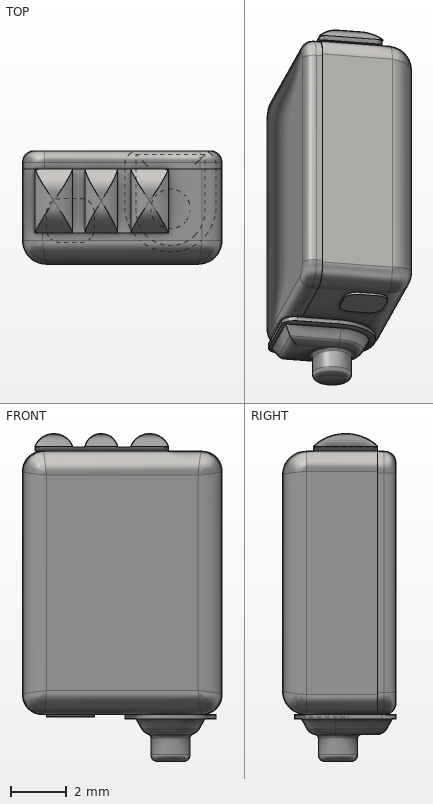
import cadquery as cq

OVERALL_HEIGHT = 11.74
CASE_WIDTH = 7.14
CASE_DEPTH = 4.06
CASE_HEIGHT = 9.43
COVER_DEPTH = 0.66
SEAM_Y = CASE_DEPTH - COVER_DEPTH
SHELL_CORNER_RADIUS = 0.72
SHELL_RIM_RADIUS = 0.86
COVER_CORNER_RADIUS = 0.79
COVER_RIM_RADIUS = 0.42

STRIP_LEFT = -3.12
STRIP_WIDTH = 4.78
STRIP_DEPTH = 2.29
STRIP_THICKNESS = 0.15
STRIP_CORNER_RADIUS = 0.14
CONTACT_STEP = 0.02
DOME_HEIGHT = 0.46
END_CONTACT_WIDTH = 1.35
MIDDLE_CONTACT_WIDTH = 1.17
MIDDLE_CONTACT_LEFT = -1.34

OUTLET_X = 1.73
FLANGE_HALF_WIDTH = 1.63
FLANGE_FRONT_Y = 0.43
FLANGE_BACK_Y = CASE_DEPTH
FLANGE_THICKNESS = 0.15
FLANGE_CORNER_RADIUS = 0.49
BOSS_HALF_WIDTH = 1.23
BOSS_FRONT_Y = 0.67
BOSS_BACK_Y = 3.93
BOSS_HEIGHT = 0.56
BOSS_TAPER_DEGREES = 30.0
BOSS_EDGE_RADIUS = 0.41
NOZZLE_Y = 1.98
NOZZLE_RADIUS = 0.7
NOZZLE_TIP_RADIUS = 0.25
NOZZLE_ROOT_RADIUS = 0.13
OUTLET_HEIGHT = OVERALL_HEIGHT - CASE_HEIGHT - STRIP_THICKNESS - CONTACT_STEP - DOME_HEIGHT

PAD_LEFT = -2.71
PAD_FRONT_Y = 0.77
PAD_WIDTH = 1.71
PAD_DEPTH = 1.57
PAD_THICKNESS = 0.08
PAD_CORNER_RADIUS = 0.49


def corner_box(left, front, bottom, width, depth, height):
    """Box placed by its left, front, bottom corner."""
    return cq.Workplane("XY").box(width, depth, height, centered=False).translate((left, front, bottom))


def make_shell():
    """Front part of the case: rounded corners and a rounded front rim, flat at the seam."""
    shell = corner_box(-CASE_WIDTH / 2, 0, 0, CASE_WIDTH, SEAM_Y, CASE_HEIGHT)
    shell = shell.edges("|Y").fillet(SHELL_CORNER_RADIUS)
    return shell.faces("<Y").edges().fillet(SHELL_RIM_RADIUS)


def make_cover():
    """Back part of the case: rounded corners and a smaller rounded back rim."""
    cover = corner_box(-CASE_WIDTH / 2, SEAM_Y, 0, CASE_WIDTH, COVER_DEPTH, CASE_HEIGHT)
    cover = cover.edges("|Y").fillet(COVER_CORNER_RADIUS)
    return cover.faces(">Y").edges().fillet(COVER_RIM_RADIUS)


def arch(plane, width, length):
    """Circular segment standing on its chord, extruded by length."""
    return (
        cq.Workplane(plane)
        .moveTo(-width / 2, 0)
        .threePointArc((0, DOME_HEIGHT), (width / 2, 0))
        .close()
        .extrude(length / 2, both=True)
    )


def make_contact(left, width):
    """Low rectangular step under a dome made of two crossed arches, ridged from the corners to the peak."""
    front = SEAM_Y - STRIP_DEPTH
    step_bottom = CASE_HEIGHT + STRIP_THICKNESS
    step = corner_box(left, front, step_bottom, width, STRIP_DEPTH, CONTACT_STEP)
    dome = arch("XZ", width, STRIP_DEPTH).intersect(arch("YZ", STRIP_DEPTH, width))
    dome = dome.translate((left + width / 2, front + STRIP_DEPTH / 2, step_bottom + CONTACT_STEP))
    return step.union(dome)


def make_terminal_strip():
    """Plate with rounded corners and its three contacts, in one piece."""
    front = SEAM_Y - STRIP_DEPTH
    plate = corner_box(STRIP_LEFT, front, CASE_HEIGHT, STRIP_WIDTH, STRIP_DEPTH, STRIP_THICKNESS)
    strip = plate.edges("|Z").fillet(STRIP_CORNER_RADIUS)
    contacts = [
        (STRIP_LEFT, END_CONTACT_WIDTH),
        (MIDDLE_CONTACT_LEFT, MIDDLE_CONTACT_WIDTH),
        (STRIP_LEFT + STRIP_WIDTH - END_CONTACT_WIDTH, END_CONTACT_WIDTH),
    ]
    for left, width in contacts:
        strip = strip.union(make_contact(left, width))
    return strip


def round_front_outline(top, half_width, front, back):
    """Closed outline at height top: half circle at the front, straight sides and a straight back."""
    arc_centre_y = front + half_width
    return (
        cq.Workplane("XY", origin=(OUTLET_X, 0, top))
        .moveTo(-half_width, back)
        .lineTo(-half_width, arc_centre_y)
        .threePointArc((0, front), (half_width, arc_centre_y))
        .lineTo(half_width, back)
        .close()
    )


def nozzle_root_selector():
    """Picks the edges where the nozzle leaves the boss and its rounded bottom edge."""
    margin = 0.01
    reach = NOZZLE_RADIUS + margin
    boss_bottom = -FLANGE_THICKNESS - BOSS_HEIGHT
    return cq.selectors.BoxSelector(
        (OUTLET_X - reach, NOZZLE_Y - reach, boss_bottom - margin),
        (OUTLET_X + reach, NOZZLE_Y + reach, boss_bottom + BOSS_EDGE_RADIUS / 2),
        boundingbox=True,
    )


def make_outlet():
    """Flange, tapered boss and nozzle in one piece, hanging from the underside."""
    flange = (
        round_front_outline(0, FLANGE_HALF_WIDTH, FLANGE_FRONT_Y, FLANGE_BACK_Y)
        .extrude(-FLANGE_THICKNESS)
        .edges("|Z and >Y")
        .fillet(FLANGE_CORNER_RADIUS)
    )
    boss = (
        round_front_outline(-FLANGE_THICKNESS, BOSS_HALF_WIDTH, BOSS_FRONT_Y, BOSS_BACK_Y)
        .extrude(-BOSS_HEIGHT, taper=BOSS_TAPER_DEGREES)
        .faces("<Z")
        .edges()
        .fillet(BOSS_EDGE_RADIUS)
    )
    nozzle = (
        cq.Workplane("XY", origin=(OUTLET_X, NOZZLE_Y, -FLANGE_THICKNESS))
        .circle(NOZZLE_RADIUS)
        .extrude(FLANGE_THICKNESS - OUTLET_HEIGHT)
        .faces("<Z")
        .edges()
        .fillet(NOZZLE_TIP_RADIUS)
    )
    stem = boss.union(nozzle)
    root_edges = stem.edges(nozzle_root_selector())
    return flange.union(root_edges.fillet(NOZZLE_ROOT_RADIUS))


def make_pad():
    """Thin plate with rounded corners on the underside, beside the outlet."""
    pad = corner_box(PAD_LEFT, PAD_FRONT_Y, -PAD_THICKNESS, PAD_WIDTH, PAD_DEPTH, PAD_THICKNESS)
    return pad.edges("|Z").fillet(PAD_CORNER_RADIUS)


shell = make_shell()
cover = make_cover()
terminal_strip = make_terminal_strip()
outlet = make_outlet()
pad = make_pad()

result = cq.Compound.makeCompound(
    [shell.val(), cover.val(), terminal_strip.val(), outlet.val(), pad.val()]
)